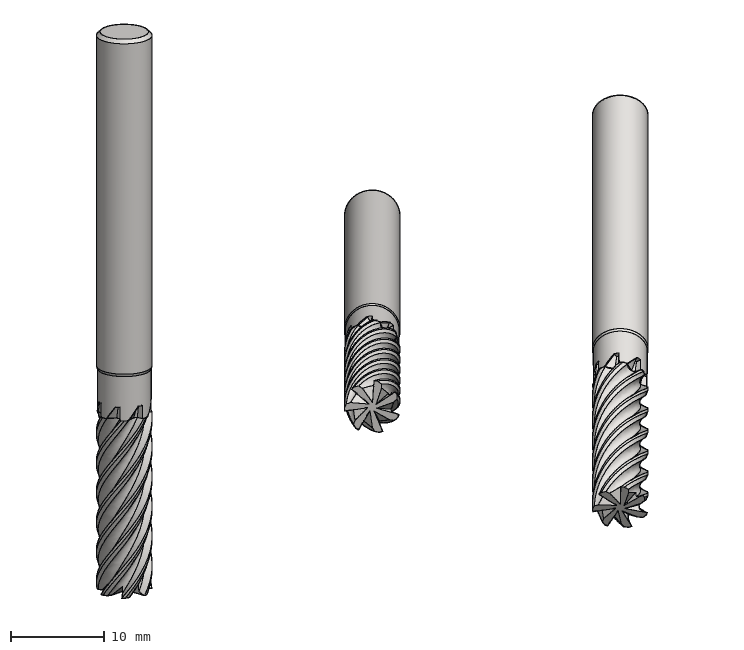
import cadquery as cq
import math

OVERALL_LENGTH = 63.0
TOOL_RADIUS = 3.0
CUTTING_LENGTH = 20.0

NECK_TOP = 25.0
NECK_RADIUS = 2.9
NECK_TAPER_LENGTH = 0.3
SHANK_CHAMFER = 0.4

FLUTE_COUNT = 7
TOOTH_PITCH = 360.0 / FLUTE_COUNT
HELIX_LEAD = 23.5
HELIX_TWIST = 360.0 * CUTTING_LENGTH / HELIX_LEAD
EDGE_ANGLE_AT_TOP = -76.0
EDGE_ANGLE_AT_TIP = EDGE_ANGLE_AT_TOP - HELIX_TWIST

LAND_ANGLE = 7.0
HEEL_ANGLE = 17.0
HEEL_RADIUS = 2.8
FLOOR_ANGLE = 36.0
CORE_RADIUS = 2.1
RAKE_FOOT_ANGLE = 47.0
RAKE_FOOT_RADIUS = 2.2

RUNOUT_LENGTH = 1.5
RUNOUT_OVERCUT = 0.3
RUNOUT_TOP_WIDTH = 12.0
RUNOUT_FLOOR_INSET = RUNOUT_TOP_WIDTH / 3
RUNOUT_TOP_RADIUS = 2.4

GASH_HEIGHT = 1.6
GASH_INNER_RADIUS = 0.5
GASH_OUTER_RADIUS = 2 * TOOL_RADIUS
GASH_OUTER_HEIGHT = (
    GASH_HEIGHT * (GASH_OUTER_RADIUS - GASH_INNER_RADIUS) / (TOOL_RADIUS - GASH_INNER_RADIUS)
)


def polar(radius, degrees):
    """X and Y of a point given by its distance from the tool axis and its angle."""
    angle = math.radians(degrees)
    return (radius * math.cos(angle), radius * math.sin(angle))


def make_tooth_section():
    """Closed cross-section of the teeth at the tip of the tool."""
    section = cq.Workplane("XY").moveTo(*polar(TOOL_RADIUS, EDGE_ANGLE_AT_TIP))
    for index in range(FLUTE_COUNT):
        edge = EDGE_ANGLE_AT_TIP + index * TOOTH_PITCH
        floor_middle = polar(CORE_RADIUS, edge + FLOOR_ANGLE)
        rake_foot = polar(RAKE_FOOT_RADIUS, edge + RAKE_FOOT_ANGLE)
        section = (
            section
            .threePointArc(polar(TOOL_RADIUS, edge + LAND_ANGLE / 2), polar(TOOL_RADIUS, edge + LAND_ANGLE))
            .lineTo(*polar(HEEL_RADIUS, edge + HEEL_ANGLE))
            .threePointArc(floor_middle, rake_foot)
        )
        if index < FLUTE_COUNT - 1:
            section = section.lineTo(*polar(TOOL_RADIUS, edge + TOOTH_PITCH))
    return section.close()


def make_gash(edge):
    """Tetrahedral wedge that opens the end face in front of one cutting edge."""
    heel = edge - TOOTH_PITCH + HEEL_ANGLE
    inner_corner = cq.Vector(*polar(GASH_INNER_RADIUS, edge), 0)
    edge_corner = cq.Vector(*polar(GASH_OUTER_RADIUS, edge), 0)
    heel_corner = cq.Vector(*polar(GASH_OUTER_RADIUS, heel), 0)
    peak = cq.Vector(*polar(GASH_OUTER_RADIUS, edge), GASH_OUTER_HEIGHT)
    triangles = [
        [inner_corner, edge_corner, heel_corner],
        [inner_corner, edge_corner, peak],
        [inner_corner, heel_corner, peak],
        [edge_corner, heel_corner, peak],
    ]
    faces = [cq.Face.makeFromWires(cq.Wire.makePolygon(points, close=True)) for points in triangles]
    return cq.Solid.makeSolid(cq.Shell.makeShell(faces))


def make_cutting_head():
    """Twisted fluted body with a gash at the tip of every flute."""
    head = make_tooth_section().twistExtrude(CUTTING_LENGTH, HELIX_TWIST)
    for index in range(FLUTE_COUNT):
        gash = make_gash(EDGE_ANGLE_AT_TIP + index * TOOTH_PITCH)
        head = head.cut(cq.Workplane(gash))
    return head


def make_runout(edge):
    """Straight-walled flute end that narrows upwards against the rake side."""
    outer = TOOL_RADIUS + RUNOUT_OVERCUT
    previous = edge - TOOTH_PITCH
    bottom = [
        polar(outer, edge),
        polar(outer, previous + HEEL_ANGLE),
        polar(HEEL_RADIUS, previous + HEEL_ANGLE),
        polar(CORE_RADIUS, previous + FLOOR_ANGLE),
        polar(RAKE_FOOT_RADIUS, previous + RAKE_FOOT_ANGLE),
    ]
    far = edge - RUNOUT_TOP_WIDTH
    top = [
        polar(outer, edge),
        polar(outer, far),
        polar(HEEL_RADIUS, far),
        polar(RUNOUT_TOP_RADIUS, far + RUNOUT_FLOOR_INSET),
        polar(RUNOUT_TOP_RADIUS, edge - RUNOUT_FLOOR_INSET),
    ]
    return (
        cq.Workplane("XY").workplane(offset=CUTTING_LENGTH).polyline(bottom).close()
        .workplane(offset=RUNOUT_LENGTH).polyline(top).close()
        .loft(ruled=True)
    )


def make_shank():
    """Chamfered shank with the reduced neck that the flutes run out into."""
    shank = (
        cq.Workplane("XZ")
        .moveTo(0, CUTTING_LENGTH)
        .lineTo(NECK_RADIUS, CUTTING_LENGTH)
        .lineTo(NECK_RADIUS, NECK_TOP)
        .lineTo(TOOL_RADIUS, NECK_TOP + NECK_TAPER_LENGTH)
        .lineTo(TOOL_RADIUS, OVERALL_LENGTH - SHANK_CHAMFER)
        .lineTo(TOOL_RADIUS - SHANK_CHAMFER, OVERALL_LENGTH)
        .lineTo(0, OVERALL_LENGTH)
        .close()
        .revolve(360, (0, 0, 0), (0, 1, 0))
    )
    for index in range(FLUTE_COUNT):
        shank = shank.cut(make_runout(EDGE_ANGLE_AT_TOP + index * TOOTH_PITCH))
    return shank


cutting_head = make_cutting_head()
shank = make_shank()
result = cq.Compound.makeCompound([cutting_head.val(), shank.val()])